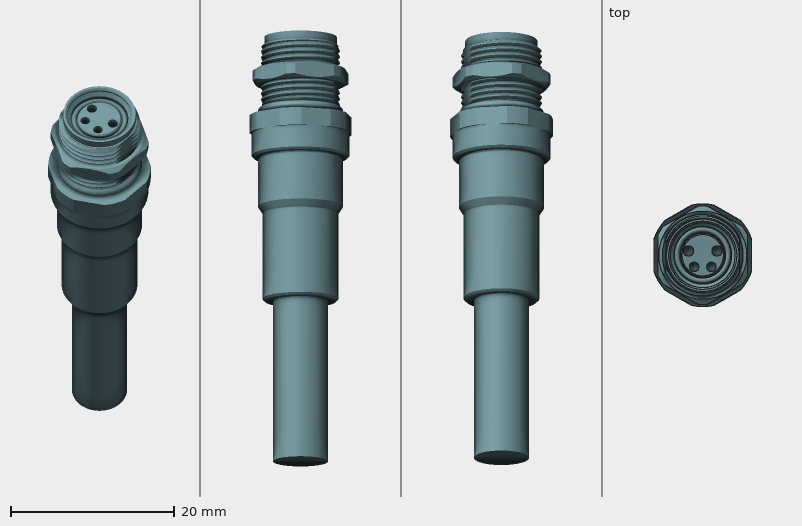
import cadquery as cq
import math

CABLE_END = 0.0
GRIP_BOTTOM = 20.0
TAPER_BOTTOM = 30.9
TAPER_TOP = 31.8
SLEEVE_TOP = 37.75
SHELL_BOTTOM = 37.9
HEX_BOTTOM = 40.85
HEX_TOP = 43.0
THREAD_BOTTOM = 44.15
NUT_BOTTOM = 46.9
NUT_TOP = 48.9
THREAD_TOP = 51.9
TOP = 52.9

CABLE_RADIUS = 3.4
GRIP_RADIUS = 4.65
SLEEVE_RADIUS = 5.25
SHELL_DIAMETER = 12.0
SHELL_RADIUS = SHELL_DIAMETER / 2
LIP_RADIUS = 4.45

GRIP_BEVEL = 0.25
SLEEVE_BEVEL = 0.25
SHELL_BEVEL = 0.25

COLLAR_ACROSS_FLATS = SHELL_DIAMETER
COLLAR_CORNER_RADIUS = 6.3
NUT_ACROSS_FLATS = 11.0
NUT_CORNER_RADIUS = 6.05
NUT_BEVEL_WIDTH = 0.65
NUT_BEVEL_HEIGHT = 0.35
NUT_BORE_RADIUS = 4.95

THREAD_DIAMETER = 10.0
THREAD_CREST_RADIUS = THREAD_DIAMETER / 2
THREAD_ROOT_RADIUS = 4.6
SLEEVE_BORE_RADIUS = 4.25
HELIX_HEIGHT = 9.0
HELIX_TURNS = 12
THREAD_PITCH = HELIX_HEIGHT / HELIX_TURNS
RIDGE_ROOT_WIDTH = 0.65
RIDGE_CREST_WIDTH = 0.1
RIDGE_EMBED = 0.05
END_TAPER = 1.05
TURNS_PER_SECTION = 5
THREAD_ACROSS_FLATS = 9.05

SEAL_RADIUS = SLEEVE_RADIUS
SEAL_SECTION_RADIUS = (THREAD_BOTTOM - HEX_TOP) / 2

MOUTH_RADIUS = 4.2
SOCKET_RADIUS = 3.95
SOCKET_BOTTOM_RADIUS = 3.55
MOUTH_BEVEL_DEPTH = 0.2
FUNNEL_DEPTH = 0.5
FUNNEL_END_DEPTH = 0.85
GROOVE_DEPTH = 1.4
INSERT_RADIUS = 2.7
INSERT_BEVEL = 0.15
INSERT_DEPTH = 0.85
FACE_SEAL_INNER_RADIUS = 2.8
FACE_SEAL_OUTER_RADIUS = 3.5

CONTACT_HOLES = [
    (1.75, 0.55, 0.65),
    (-1.75, 0.55, 0.65),
    (1.05, -1.45, 0.6),
    (-1.05, -1.45, 0.6),
]
CONTACT_HOLE_DEPTH = 3.2
CONTACT_TIP_DEPTH = 0.3


def revolve_profile(points):
    """Turn a closed (radius, height) outline about the Z axis."""
    return cq.Workplane("XZ").polyline(points).close().revolve(360, (0, 0), (0, 1))


def cylinder(radius, bottom, top):
    """Cylinder on the Z axis between two heights."""
    return cq.Workplane("XY", origin=(0, 0, bottom)).circle(radius).extrude(top - bottom)


def slab_between_flats(bottom, top):
    """Block between the two thread flats, wider than the thread along Y."""
    slab = cq.Workplane("XY", origin=(0, 0, bottom)).rect(THREAD_ACROSS_FLATS, 3 * THREAD_CREST_RADIUS)
    return slab.extrude(top - bottom)


def turned_body():
    """Cable, grip sleeve, shell, thread core and top lip as one turned piece."""
    return revolve_profile([
        (0, CABLE_END),
        (CABLE_RADIUS, CABLE_END),
        (CABLE_RADIUS, GRIP_BOTTOM),
        (GRIP_RADIUS - GRIP_BEVEL, GRIP_BOTTOM),
        (GRIP_RADIUS, GRIP_BOTTOM + GRIP_BEVEL),
        (GRIP_RADIUS, TAPER_BOTTOM),
        (SLEEVE_RADIUS, TAPER_TOP),
        (SLEEVE_RADIUS, SLEEVE_TOP - SLEEVE_BEVEL),
        (SLEEVE_RADIUS - SLEEVE_BEVEL, SLEEVE_TOP),
        (SLEEVE_RADIUS - SLEEVE_BEVEL, SHELL_BOTTOM),
        (SHELL_RADIUS - SHELL_BEVEL, SHELL_BOTTOM),
        (SHELL_RADIUS, SHELL_BOTTOM + SHELL_BEVEL),
        (SHELL_RADIUS, HEX_TOP),
        (LIP_RADIUS, HEX_TOP),
        (LIP_RADIUS, TOP),
        (0, TOP),
    ])


def hexagon(across_flats, bottom, top):
    """Hexagonal prism on the axis with corners on +Y and -Y."""
    corner_diameter = across_flats / math.cos(math.pi / 6)
    return (
        cq.Workplane("XY", origin=(0, 0, bottom))
        .transformed(rotate=(0, 0, 90))
        .polygon(6, corner_diameter)
        .extrude(top - bottom)
    )


def hex_collar():
    """Wrench collar on the shell, its corners turned round."""
    corner_envelope = cylinder(COLLAR_CORNER_RADIUS, HEX_BOTTOM, HEX_TOP)
    return hexagon(COLLAR_ACROSS_FLATS, HEX_BOTTOM, HEX_TOP).intersect(corner_envelope)


def lock_nut():
    """Hexagonal nut with rounded corners, bevelled above and below."""
    bevel_radius = NUT_CORNER_RADIUS - NUT_BEVEL_WIDTH
    corner_envelope = revolve_profile([
        (0, NUT_BOTTOM),
        (bevel_radius, NUT_BOTTOM),
        (NUT_CORNER_RADIUS, NUT_BOTTOM + NUT_BEVEL_HEIGHT),
        (NUT_CORNER_RADIUS, NUT_TOP - NUT_BEVEL_HEIGHT),
        (bevel_radius, NUT_TOP),
        (0, NUT_TOP),
    ])
    return hexagon(NUT_ACROSS_FLATS, NUT_BOTTOM, NUT_TOP).intersect(corner_envelope)


def nut_bore():
    """Bore around the body, widened to the thread diameter beside the thread flats."""
    gaps = cylinder(NUT_BORE_RADIUS, NUT_BOTTOM, NUT_TOP).cut(slab_between_flats(NUT_BOTTOM, NUT_TOP))
    return gaps.union(cylinder(SLEEVE_BORE_RADIUS, NUT_BOTTOM, NUT_TOP))


def thread_ridge(start, turns):
    """Right-hand helical ridge, sunk slightly into the thread sleeve."""
    inner_radius = THREAD_ROOT_RADIUS - RIDGE_EMBED
    flank_slope = (RIDGE_ROOT_WIDTH - RIDGE_CREST_WIDTH) / (THREAD_CREST_RADIUS - THREAD_ROOT_RADIUS)
    inner_half_width = (RIDGE_ROOT_WIDTH + flank_slope * RIDGE_EMBED) / 2
    crest_half_width = RIDGE_CREST_WIDTH / 2
    helix = cq.Wire.makeHelix(THREAD_PITCH, turns * THREAD_PITCH, THREAD_ROOT_RADIUS)
    return (
        cq.Workplane("XZ")
        .polyline([
            (inner_radius, -inner_half_width),
            (THREAD_CREST_RADIUS, -crest_half_width),
            (THREAD_CREST_RADIUS, crest_half_width),
            (inner_radius, inner_half_width),
        ])
        .close()
        .sweep(cq.Workplane(obj=helix), isFrenet=True)
        .translate((0, 0, start))
    )


def thread():
    """Sleeve around the body, threaded below and above the nut and flattened on +X and -X."""
    lower_start = THREAD_BOTTOM - THREAD_PITCH
    upper_start = lower_start + (HELIX_TURNS - TURNS_PER_SECTION) * THREAD_PITCH
    envelope_radius = THREAD_ROOT_RADIUS + END_TAPER
    envelope = revolve_profile([
        (0, THREAD_BOTTOM),
        (THREAD_ROOT_RADIUS, THREAD_BOTTOM),
        (envelope_radius, THREAD_BOTTOM + END_TAPER),
        (envelope_radius, THREAD_TOP - END_TAPER),
        (THREAD_ROOT_RADIUS, THREAD_TOP),
        (0, THREAD_TOP),
    ])
    threaded = cylinder(THREAD_ROOT_RADIUS, THREAD_BOTTOM, THREAD_TOP)
    for start in (lower_start, upper_start):
        threaded = threaded.union(thread_ridge(start, TURNS_PER_SECTION).intersect(envelope))
    flattened = threaded.intersect(slab_between_flats(THREAD_BOTTOM, THREAD_TOP))
    return flattened.cut(cylinder(SLEEVE_BORE_RADIUS, THREAD_BOTTOM, THREAD_TOP))


def ring(center_radius, section_radius, height):
    """Ring of round section about the Z axis."""
    return cq.Workplane(obj=cq.Solid.makeTorus(center_radius, section_radius, cq.Vector(0, 0, height)))


def socket():
    """Space to remove from the top: funnel mouth around the contact insert."""
    return revolve_profile([
        (0, TOP),
        (MOUTH_RADIUS, TOP),
        (SOCKET_RADIUS, TOP - MOUTH_BEVEL_DEPTH),
        (SOCKET_RADIUS, TOP - FUNNEL_DEPTH),
        (SOCKET_BOTTOM_RADIUS, TOP - FUNNEL_END_DEPTH),
        (SOCKET_BOTTOM_RADIUS, TOP - GROOVE_DEPTH),
        (INSERT_RADIUS, TOP - GROOVE_DEPTH),
        (INSERT_RADIUS, TOP - INSERT_DEPTH - INSERT_BEVEL),
        (INSERT_RADIUS - INSERT_BEVEL, TOP - INSERT_DEPTH),
        (0, TOP - INSERT_DEPTH),
    ])


def contact_hole(x, y, radius):
    """Blind hole with a conical tip, opening in the insert face."""
    mouth = TOP - INSERT_DEPTH
    shoulder = mouth - CONTACT_HOLE_DEPTH
    return revolve_profile([
        (0, mouth),
        (radius, mouth),
        (radius, shoulder),
        (0, shoulder - CONTACT_TIP_DEPTH),
    ]).translate((x, y, 0))


face_seal_section_radius = (FACE_SEAL_OUTER_RADIUS - FACE_SEAL_INNER_RADIUS) / 2
face_seal_center_radius = (FACE_SEAL_OUTER_RADIUS + FACE_SEAL_INNER_RADIUS) / 2
face_seal = ring(face_seal_center_radius, face_seal_section_radius, TOP - GROOVE_DEPTH)
thread_seal = ring(SEAL_RADIUS - SEAL_SECTION_RADIUS, SEAL_SECTION_RADIUS, HEX_TOP + SEAL_SECTION_RADIUS)

body = turned_body().union(hex_collar()).cut(socket()).union(face_seal)
for hole_x, hole_y, hole_radius in CONTACT_HOLES:
    body = body.cut(contact_hole(hole_x, hole_y, hole_radius))

result = body.union(thread_seal).union(thread()).union(lock_nut().cut(nut_bore()))